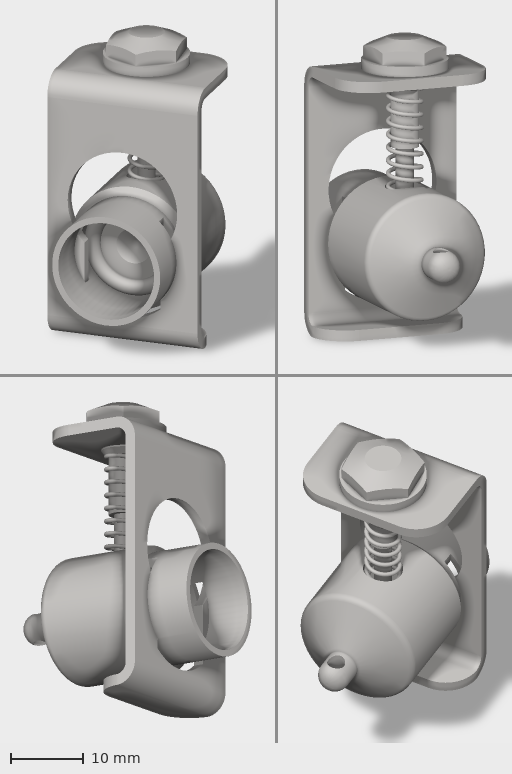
import cadquery as cq
import math

OVERLAP = 0.1

WIDTH = 22.0
BRACKET_TOP = 37.95
PLATE = 1.55
PLATE_FRONT = -9.55
BEND_RADIUS = 2 * PLATE
TOP_FLANGE_END = 6.5
BOTTOM_FLANGE_END = -1.9
CORNER_RADIUS = 5.0
WINDOW_DIA = 16.0
WINDOW_Z = 20.1
KEYWAY_WIDTH = 11.08
KEYWAY_END_RADIUS = 9.0

AXIS_Z = 13.0
BARREL_RADIUS = 17.85 / 2
TUBE_RADIUS = 15.8 / 2
BORE_RADIUS = 14.0 / 2
TUBE_END = -15.995
BARREL_FRONT = -7.0
BARREL_CHAMFER = BARREL_RADIUS - TUBE_RADIUS
CONE_END = 11.45
CONE_SLOPE = math.radians(30)
SHOULDER_FILLET = 1.1
KNOB_RADIUS = 4.5 / 2
KNOB_END = 15.995
KNOB_ROUNDING = 2.05
EYE_DIA = 2.45
EYE_Y = 13.4
BORE_FLOOR = -5.1
RING_INNER_RADIUS = 4.8
DIMPLE_RADIUS = 2.5
DIMPLE_DEPTH = 1.45
SIDE_SLOT_FLOOR = 5.35
SIDE_SLOT_CLEARANCE = 0.25
POCKET_DIA = 5.5
POCKET_FLOOR = 19.15

HEAD_TOP = 42.6
HEX_BASE = 39.55
HEX_CORNER_DIA = 11.5
HEX_TURN = 5.4
HEAD_FLAT_RADIUS = 2.5
HEAD_CONE_DROP = 1.4
WASHER_RADIUS = 12.0 / 2
WASHER_BASE = 38.13
WASHER_RELIEF_RADIUS = 5.55
COLLAR_RADIUS = 6.0 / 2
COLLAR_RIM = 0.2
COLLAR_HEIGHT = 1.02
COLLAR_END_RADIUS = 2.25
SHANK_RADIUS = 3.9 / 2
SHANK_END = 27.2
PIN_RADIUS = 2.5 / 2

COIL_RADIUS = 2.3
WIRE_RADIUS = 0.3
COIL_PITCH = 1.85
COIL_START = 19.15
COIL_TURNS = 9.2


def along_y(radius, start, end):
    """Solid cylinder on the barrel axis."""
    circle = cq.Workplane("XZ", origin=(0, start, AXIS_Z)).circle(radius)
    return circle.extrude(start - end)


def corner_cutter(flange_end, base_z):
    """Material outside the two rounded corners at the free end of a flange."""
    start = flange_end - CORNER_RADIUS
    block = cq.Workplane("XY", origin=(0, start, base_z)).rect(2 * WIDTH, 2 * CORNER_RADIUS)
    block = block.extrude(PLATE)
    tongue = cq.Workplane("XY", origin=(0, start, base_z)).rect(WIDTH, 2 * CORNER_RADIUS)
    tongue = tongue.extrude(PLATE).edges("|Z and >Y").fillet(CORNER_RADIUS)
    return block.cut(tongue)


def make_bracket():
    bend_inner = BEND_RADIUS - PLATE
    inside = PLATE_FRONT + PLATE
    bend_y = PLATE_FRONT + BEND_RADIUS
    bend_top = BRACKET_TOP - BEND_RADIUS
    body = (
        cq.Workplane("YZ", origin=(-WIDTH / 2, 0, 0))
        .moveTo(TOP_FLANGE_END, BRACKET_TOP)
        .lineTo(bend_y, BRACKET_TOP)
        .radiusArc((PLATE_FRONT, bend_top), -BEND_RADIUS)
        .lineTo(PLATE_FRONT, BEND_RADIUS)
        .radiusArc((bend_y, 0), -BEND_RADIUS)
        .lineTo(BOTTOM_FLANGE_END, 0)
        .lineTo(BOTTOM_FLANGE_END, PLATE)
        .lineTo(bend_y, PLATE)
        .radiusArc((inside, BEND_RADIUS), bend_inner)
        .lineTo(inside, bend_top)
        .radiusArc((bend_y, BRACKET_TOP - PLATE), bend_inner)
        .lineTo(TOP_FLANGE_END, BRACKET_TOP - PLATE)
        .close()
        .extrude(WIDTH)
    )
    body = body.cut(corner_cutter(TOP_FLANGE_END, BRACKET_TOP - PLATE))
    body = body.cut(corner_cutter(BOTTOM_FLANGE_END, 0))

    window = cq.Workplane("XZ", origin=(0, inside, WINDOW_Z)).circle(WINDOW_DIA / 2).extrude(PLATE)
    keyway = cq.Workplane("XY").box(KEYWAY_WIDTH, PLATE, WINDOW_Z, centered=(True, False, False))
    keyway = keyway.translate((0, PLATE_FRONT, 0))
    keyway = keyway.intersect(along_y(KEYWAY_END_RADIUS, PLATE_FRONT, inside))
    return body.cut(window).cut(keyway)


def make_barrel():
    cone_start = CONE_END - (BARREL_RADIUS - KNOB_RADIUS) * math.tan(CONE_SLOPE)
    corner_setback = SHOULDER_FILLET * math.tan((math.pi / 2 - CONE_SLOPE) / 2)
    fillet_start = (BARREL_RADIUS, cone_start - corner_setback)
    fillet_end = (
        BARREL_RADIUS - corner_setback * math.cos(CONE_SLOPE),
        cone_start + corner_setback * math.sin(CONE_SLOPE),
    )
    body = (
        cq.Workplane("XY")
        .moveTo(0, TUBE_END)
        .lineTo(TUBE_RADIUS, TUBE_END)
        .lineTo(TUBE_RADIUS, BARREL_FRONT)
        .lineTo(BARREL_RADIUS, BARREL_FRONT + BARREL_CHAMFER)
        .lineTo(*fillet_start)
        .radiusArc(fillet_end, -SHOULDER_FILLET)
        .lineTo(KNOB_RADIUS, CONE_END)
        .lineTo(KNOB_RADIUS, KNOB_END - KNOB_ROUNDING)
        .radiusArc((KNOB_RADIUS - KNOB_ROUNDING, KNOB_END), -KNOB_ROUNDING)
        .lineTo(0, KNOB_END)
        .close()
        .revolve(360, (0, 0, 0), (0, 1, 0))
        .translate((0, 0, AXIS_Z))
    )
    body = body.cut(along_y(BORE_RADIUS, TUBE_END, BORE_FLOOR))
    dimple = cq.Solid.makeCone(
        DIMPLE_RADIUS, 0, DIMPLE_DEPTH, cq.Vector(0, BORE_FLOOR, AXIS_Z), cq.Vector(0, 1, 0)
    )
    body = body.cut(cq.Workplane(dimple))

    ring_radius = (BORE_RADIUS + OVERLAP - RING_INNER_RADIUS) / 2
    ring = cq.Solid.makeTorus(
        RING_INNER_RADIUS + ring_radius, ring_radius,
        cq.Vector(0, BORE_FLOOR, AXIS_Z), cq.Vector(0, 1, 0),
    )
    body = body.union(cq.Workplane(ring))

    slot_length = PLATE + SIDE_SLOT_CLEARANCE
    slot_y = PLATE_FRONT + slot_length / 2
    for side in (-1, 1):
        slot = cq.Workplane("XY").box(TUBE_RADIUS, slot_length, 2 * TUBE_RADIUS)
        slot_x = side * (SIDE_SLOT_FLOOR + TUBE_RADIUS / 2)
        body = body.cut(slot.translate((slot_x, slot_y, AXIS_Z)))

    eye = cq.Workplane("XY", origin=(0, EYE_Y, AXIS_Z)).circle(EYE_DIA / 2)
    body = body.cut(eye.extrude(KNOB_RADIUS, both=True))
    pocket = cq.Workplane("XY", origin=(0, 0, POCKET_FLOOR)).circle(POCKET_DIA / 2)
    return body.cut(pocket.extrude(BARREL_RADIUS))


def make_stud():
    collar_top = BRACKET_TOP - PLATE
    turned = [
        (0, POCKET_FLOOR - OVERLAP),
        (PIN_RADIUS, POCKET_FLOOR - OVERLAP),
        (PIN_RADIUS, SHANK_END),
        (SHANK_RADIUS, SHANK_END),
        (SHANK_RADIUS, collar_top - COLLAR_HEIGHT),
        (COLLAR_END_RADIUS, collar_top - COLLAR_HEIGHT),
        (COLLAR_RADIUS, collar_top - COLLAR_RIM),
        (COLLAR_RADIUS, BRACKET_TOP),
        (WASHER_RELIEF_RADIUS, BRACKET_TOP),
        (WASHER_RELIEF_RADIUS, WASHER_BASE),
        (WASHER_RADIUS, WASHER_BASE),
        (WASHER_RADIUS, HEX_BASE),
        (0, HEX_BASE),
    ]
    stud = cq.Workplane("XZ").polyline(turned).close().revolve(360, (0, 0, 0), (0, 1, 0))

    corner_radius = HEX_CORNER_DIA / 2
    head = cq.Workplane("XY", origin=(0, 0, HEX_BASE)).polygon(6, HEX_CORNER_DIA)
    head = head.extrude(HEAD_TOP - HEX_BASE).rotate((0, 0, 0), (0, 0, 1), 30 + HEX_TURN)
    trim_profile = [
        (0, HEX_BASE),
        (corner_radius, HEX_BASE),
        (corner_radius, HEAD_TOP - HEAD_CONE_DROP),
        (HEAD_FLAT_RADIUS, HEAD_TOP),
        (0, HEAD_TOP),
    ]
    trim = cq.Workplane("XZ").polyline(trim_profile).close().revolve(360, (0, 0, 0), (0, 1, 0))
    return stud.union(head.intersect(trim))


def make_spring():
    path = cq.Wire.makeHelix(COIL_PITCH, COIL_PITCH * COIL_TURNS, COIL_RADIUS, lefthand=True)
    wire = cq.Workplane("XZ").center(COIL_RADIUS, 0).circle(WIRE_RADIUS)
    coil = wire.sweep(cq.Workplane(path), isFrenet=True)
    return coil.rotate((0, 0, 0), (0, 0, 1), 90).translate((0, 0, COIL_START))


result = make_barrel().union(make_stud()).union(make_bracket()).union(make_spring())